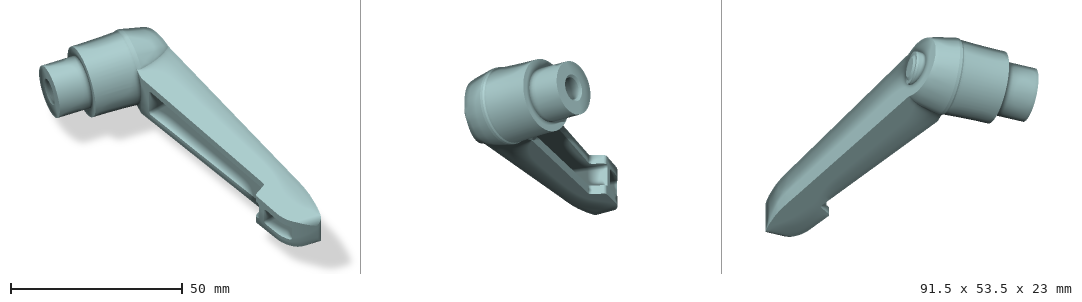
import cadquery as cq
import math


OVERALL_LENGTH = 91.5

SLEEVE_BOTTOM = 10.15
HEAD_BOTTOM = 24.2
BAND_BOTTOM = 24.7
BAND_TOP = 25.6
HEAD_MIDDLE = 30.2
HEAD_TOP = 36.0
PIN_SHOULDER = 36.05
PIN_RIM = 36.6
PIN_TOP = 37.1

INSERT_RADIUS = 8.0
SLEEVE_BOTTOM_RADIUS = 10.8
SLEEVE_MIDDLE_RADIUS = 10.88
SLEEVE_TOP_RADIUS = 11.2
BAND_RADIUS = 11.49
HEAD_MIDDLE_RADIUS = 10.6
HEAD_TOP_RADIUS = 8.8

PIN_RADIUS = 5.0
PIN_RIM_RADIUS = 4.85
PIN_BUTTON_RADIUS = 3.8
PIN_TOP_RADIUS = 3.0

HOLE_RADIUS = 6.65 / 2
HOLE_MOUTH_RADIUS = 4.0
HOLE_DEPTH = 20.0
DRILL_POINT_ANGLE = 118.0

ARM_TIP_X = OVERALL_LENGTH - BAND_RADIUS
ARM_TOP_Y = 53.5
TOP_SLOPE = math.radians(14.7)
ALONG_BACK = (math.cos(TOP_SLOPE), math.sin(TOP_SLOPE))
SQUARE_TO_BACK = (-math.sin(TOP_SLOPE), math.cos(TOP_SLOPE))
UNDERSIDE_SLOPE = math.radians(20.0)
HEAD_TOP_ON_AXIS = 35.2
ARM_HEEL_X = 11.5
CREST_START_X = 58.0
ARM_CREST_X = 74.5
CREST_RADIUS = 35.0
TIP_CORNER_RADIUS = 1.6
TIP_ARC_RADIUS = 10.4
TIP_ARC_START_Y = 51.4
NOTCH_INNER_X = 61.75
NOTCH_OUTER_X = 64.4
NOTCH_FILLET = 0.9

ARM_HALF_WIDTH_ON_AXIS = 8.2
ARM_TAPER = math.radians(2.0)
TIP_PLAN_RADIUS = 2.3

ARM_SIDE_WALL = 2.65
ARM_BACK_WALL = 2.1
POCKET_FILLET = 0.9
LONG_POCKET_MOUTH = ((14.65, 25.35), (65.9, 39.2))
SHORT_POCKET_MOUTH = ((68.0, 39.9), (77.4, 45.3))

OVERSIZE = 60.0


def top_line_y(x):
    """Height of the sloped plane shared by the head and the back of the arm."""
    return HEAD_TOP_ON_AXIS + x * math.tan(TOP_SLOPE)


def half_width(x):
    """Half the arm width at a distance x from the hub axis."""
    return ARM_HALF_WIDTH_ON_AXIS - x * math.tan(ARM_TAPER)


def revolve_about_hub(sketch):
    """Close a half section and turn it about the hub axis."""
    return sketch.close().revolve(360, (0, 0, 0), (0, 1, 0))


def make_hub():
    """Insert, sleeve and head, with the top of the head cut on a slope."""
    sleeve_middle = (SLEEVE_BOTTOM + HEAD_BOTTOM) / 2
    hub = revolve_about_hub(
        cq.Workplane("XY")
        .moveTo(0, 0)
        .lineTo(INSERT_RADIUS, 0)
        .lineTo(INSERT_RADIUS, SLEEVE_BOTTOM)
        .lineTo(SLEEVE_BOTTOM_RADIUS, SLEEVE_BOTTOM)
        .threePointArc((SLEEVE_MIDDLE_RADIUS, sleeve_middle), (SLEEVE_TOP_RADIUS, HEAD_BOTTOM))
        .lineTo(BAND_RADIUS, BAND_BOTTOM)
        .lineTo(BAND_RADIUS, BAND_TOP)
        .threePointArc((HEAD_MIDDLE_RADIUS, HEAD_MIDDLE), (HEAD_TOP_RADIUS, HEAD_TOP))
        .lineTo(HEAD_TOP_RADIUS, OVERSIZE)
        .lineTo(0, OVERSIZE)
    )
    reach = 2 * BAND_RADIUS
    above_slope = (
        cq.Workplane("XY")
        .polyline([
            (-reach, top_line_y(-reach)),
            (reach, top_line_y(reach)),
            (reach, 2 * OVERSIZE),
            (-reach, 2 * OVERSIZE),
        ])
        .close()
        .extrude(OVERSIZE, both=True)
    )
    return hub.cut(above_slope)


def make_pin():
    """Stepped round pin that stands out of the sloped head."""
    return revolve_about_hub(
        cq.Workplane("XY")
        .moveTo(0, HEAD_BOTTOM)
        .lineTo(PIN_RADIUS, HEAD_BOTTOM)
        .lineTo(PIN_RADIUS, PIN_SHOULDER)
        .lineTo(PIN_RIM_RADIUS, PIN_RIM)
        .lineTo(PIN_BUTTON_RADIUS, PIN_RIM)
        .lineTo(PIN_TOP_RADIUS, PIN_TOP)
        .lineTo(0, PIN_TOP)
    )


def make_threaded_hole():
    """Blind hole with a chamfered mouth and a drill point."""
    chamfer = HOLE_MOUTH_RADIUS - HOLE_RADIUS
    point_height = HOLE_RADIUS / math.tan(math.radians(DRILL_POINT_ANGLE / 2))
    return revolve_about_hub(
        cq.Workplane("XY")
        .moveTo(0, 0)
        .lineTo(HOLE_MOUTH_RADIUS, 0)
        .lineTo(HOLE_RADIUS, chamfer)
        .lineTo(HOLE_RADIUS, HOLE_DEPTH)
        .lineTo(0, HOLE_DEPTH + point_height)
    )


def fillet_at(body, x, y, radius):
    """Round the edge parallel to Z that passes through (x, y)."""
    edge = body.edges("|Z").edges(cq.selectors.NearestToPointSelector((x, y, 0)))
    return edge.fillet(radius)


def make_arm_side():
    """Side profile of the arm, extruded wider than the arm."""
    crest_start = (CREST_START_X, top_line_y(CREST_START_X))
    crest = (ARM_CREST_X, ARM_TOP_Y)
    crest_run_out = ARM_TIP_X - ARM_CREST_X
    crest_drop = CREST_RADIUS - math.sqrt(CREST_RADIUS ** 2 - crest_run_out ** 2)
    tip_corner = (ARM_TIP_X, ARM_TOP_Y - crest_drop)

    tip_center_x = ARM_TIP_X - TIP_ARC_RADIUS
    lug_end = (
        tip_center_x + TIP_ARC_RADIUS * math.sin(UNDERSIDE_SLOPE),
        TIP_ARC_START_Y - TIP_ARC_RADIUS * math.cos(UNDERSIDE_SLOPE),
    )
    slope = math.tan(UNDERSIDE_SLOPE)
    notch_outer = (NOTCH_OUTER_X, lug_end[1] - (lug_end[0] - NOTCH_OUTER_X) * slope)
    notch_inner = (NOTCH_INNER_X, HEAD_BOTTOM + (NOTCH_INNER_X - ARM_HEEL_X) * slope)

    side = (
        cq.Workplane("XY")
        .moveTo(0, HEAD_BOTTOM)
        .lineTo(0, top_line_y(0))
        .lineTo(*crest_start)
        .spline([crest], tangents=[ALONG_BACK, (1, 0)], includeCurrent=True)
        .tangentArcPoint(tip_corner, relative=False)
        .lineTo(ARM_TIP_X, TIP_ARC_START_Y)
        .tangentArcPoint(lug_end, relative=False)
        .lineTo(*notch_outer)
        .lineTo(*notch_inner)
        .lineTo(ARM_HEEL_X, HEAD_BOTTOM)
        .close()
        .extrude(2 * ARM_HALF_WIDTH_ON_AXIS, both=True)
    )
    side = fillet_at(side, *tip_corner, TIP_CORNER_RADIUS)
    side = fillet_at(side, *notch_outer, NOTCH_FILLET)
    return fillet_at(side, *notch_inner, NOTCH_FILLET)


def make_tapered_plan(x_start, x_end, wall):
    """Block whose sides follow the arm taper, set in by the given wall thickness."""
    start_half = half_width(x_start) - wall
    end_half = half_width(x_end) - wall
    return (
        cq.Workplane("XZ")
        .polyline([(x_start, -start_half), (x_end, -end_half), (x_end, end_half), (x_start, start_half)])
        .close()
        .extrude(-2 * OVERSIZE)
    )


def make_arm():
    """Arm with its side profile and its tapered, round-cornered plan outline."""
    plan = make_tapered_plan(0, ARM_TIP_X, 0).edges("|Y and >X").fillet(TIP_PLAN_RADIUS)
    return make_arm_side().intersect(plan)


def back_point(run, height):
    """Point given by its run along the back of the arm and its height square to it."""
    return (
        run * ALONG_BACK[0] + height * SQUARE_TO_BACK[0],
        run * ALONG_BACK[1] + height * SQUARE_TO_BACK[1],
    )


def run_along_back(place):
    """Distance of a point along the back of the arm."""
    return place[0] * ALONG_BACK[0] + place[1] * ALONG_BACK[1]


def make_pocket(mouth):
    """Pocket square to the back of the arm, with rounded upright corners."""
    start, end = (run_along_back(place) for place in mouth)
    floor = HEAD_TOP_ON_AXIS * math.cos(TOP_SLOPE) - ARM_BACK_WALL
    outside = floor - OVERSIZE / 2
    slab = (
        cq.Workplane("XY")
        .polyline([
            back_point(start, outside),
            back_point(end, outside),
            back_point(end, floor),
            back_point(start, floor),
        ])
        .close()
        .extrude(OVERSIZE, both=True)
    )
    sides = make_tapered_plan(0, ARM_TIP_X + OVERSIZE / 2, ARM_SIDE_WALL).translate((0, -OVERSIZE / 2, 0))
    pocket = slab.intersect(sides)
    corners = pocket.faces(cq.selectors.ParallelDirSelector(cq.Vector(*ALONG_BACK))).edges("not |Z")
    return corners.fillet(POCKET_FILLET)


result = (
    make_hub()
    .union(make_arm())
    .cut(make_pocket(LONG_POCKET_MOUTH))
    .cut(make_pocket(SHORT_POCKET_MOUTH))
    .union(make_pin())
    .cut(make_threaded_hole())
)